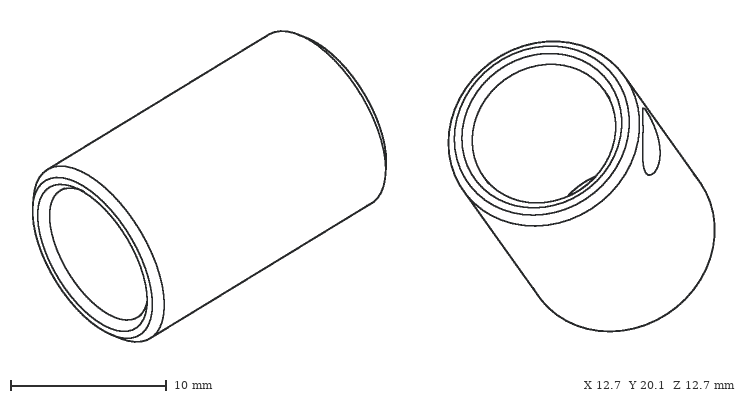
import cadquery as cq

length = 20.07
outer_diameter = 12.7
bore_diameter = 9.53
edge_chamfer = 0.55

side_hole_diameter = 4.32
side_hole_from_end = 3.55


def make_tube():
    """Chamfered tube centred on the origin."""
    tube = (
        cq.Workplane("XZ", origin=(0, length / 2, 0))
        .circle(outer_diameter / 2)
        .circle(bore_diameter / 2)
        .extrude(length)
    )
    return tube.faces("<Y or >Y").edges().chamfer(edge_chamfer)


def make_side_hole():
    """Radial cutter running from the tube axis out past the -X wall."""
    hole_y = length / 2 - side_hole_from_end
    return (
        cq.Workplane("YZ")
        .center(hole_y, 0)
        .circle(side_hole_diameter / 2)
        .extrude(-outer_diameter)
    )


result = make_tube().cut(make_side_hole())